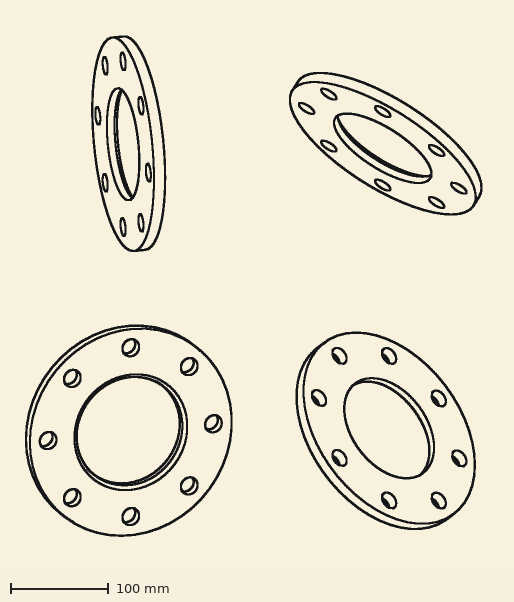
import cadquery as cq

outer_diameter = 220.0
thickness = 12.0
bore_diameter = 115.0
bore_chamfer = 4.0
bolt_circle_diameter = 180.0
bolt_hole_diameter = 18.0
bolt_hole_count = 8

ring = (
    cq.Workplane("XZ")
    .circle(outer_diameter / 2)
    .circle(bore_diameter / 2)
    .extrude(thickness)
)

ring = ring.faces(">Y").edges(cq.selectors.RadiusNthSelector(0)).chamfer(bore_chamfer)

bolt_holes = (
    cq.Workplane("XZ")
    .polarArray(bolt_circle_diameter / 2, 0, 360, bolt_hole_count)
    .circle(bolt_hole_diameter / 2)
    .extrude(thickness)
)

result = ring.cut(bolt_holes)